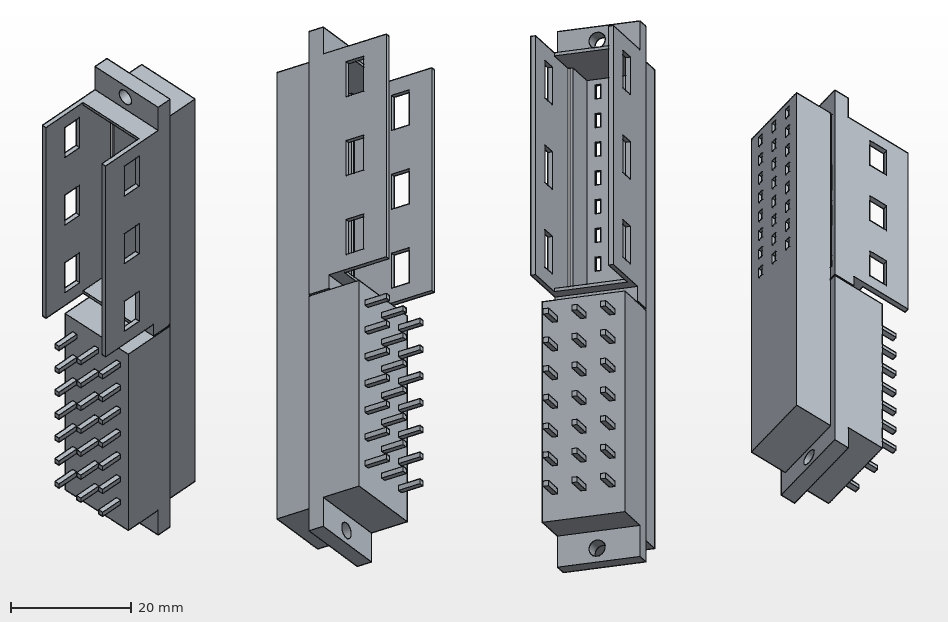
import cadquery as cq


LENGTH = 94.8
WIDTH = 14.7
FLANGE_THICKNESS = 2.8
MOUNT_HOLE_DIAMETER = 2.8
MOUNT_HOLE_X = -0.3
MOUNT_HOLE_INSET = 2.5

REAR_WIDTH = 12.4
REAR_DEPTH = 7.1
REAR_BOTTOM = 4.9
SHELL_WALL = 0.6

HOUSING_TOP = LENGTH - 5.1
HOUSING_BOTTOM = 47.4
HOUSING_DEPTH = 6.5
WING_DEPTH = 15.35
WING_THICKNESS = 0.9
FOOT_BOTTOM = 44.8
FOOT_DEPTH = 4.0

WINDOW_COUNT = 3
WINDOW_PITCH = 15.0
WINDOW_HEIGHT = 6.6
WINDOW_WIDTH = 3.5
WINDOW_CENTRE_DEPTH = 9.1

GAP = 0.3
BLOCK_TOP = FOOT_BOTTOM - GAP
BLOCK_BOTTOM = 5.5
BLOCK_DEPTH = 9.95

ROW_PITCH = 5.08
SLOT_COLUMNS = 3
SLOT_ROWS = 8
SLOT_COLUMN_PITCH = 3.7
SLOT_WIDTH = 0.95
SLOT_HEIGHT = 2.5
TOP_SLOT_Z = 86.9
PIN_COLUMNS = 3
PIN_ROWS = 7
PIN_SIZE = 0.95
PIN_TIP_DEPTH = 14.2
TOP_PIN_Z = 41.1


def block(width, front_depth, back_depth, bottom, top):
    """Box centred on X, between two depths measured towards -Y from the flange back."""
    return (
        cq.Workplane("XY")
        .box(width, front_depth - back_depth, top - bottom, centered=(True, False, False))
        .translate((0, -front_depth, bottom))
    )


def contact_grid(columns, rows, column_pitch, top_z):
    """X, Z centres of a contact array whose top row is at top_z."""
    return [
        ((column - (columns - 1) / 2) * column_pitch, top_z - row * ROW_PITCH)
        for column in range(columns)
        for row in range(rows)
    ]


def make_body():
    flange = block(WIDTH, FLANGE_THICKNESS, 0, 0, LENGTH)
    rear = block(REAR_WIDTH, 0, -REAR_DEPTH, REAR_BOTTOM, HOUSING_TOP)
    foot = block(WIDTH, FOOT_DEPTH, 0, FOOT_BOTTOM, HOUSING_BOTTOM)
    housing = block(WIDTH, WING_DEPTH, 0, HOUSING_BOTTOM, HOUSING_TOP)
    pin_block = block(WIDTH, BLOCK_DEPTH, 0, BLOCK_BOTTOM, BLOCK_TOP)
    body = flange.union(rear).union(foot).union(housing).union(pin_block)
    return body.cut(block(WIDTH, FLANGE_THICKNESS, 0, BLOCK_TOP, FOOT_BOTTOM))


def cut_housing(body):
    inner_width = WIDTH - 2 * WING_THICKNESS
    cavity_bottom = HOUSING_BOTTOM + SHELL_WALL
    cavity_top = HOUSING_TOP - SHELL_WALL
    between_wings = block(inner_width, WING_DEPTH, HOUSING_DEPTH, HOUSING_BOTTOM, HOUSING_TOP)
    frame_opening = block(inner_width, HOUSING_DEPTH, 0, cavity_bottom, cavity_top)
    rear_cavity = block(
        REAR_WIDTH - 2 * SHELL_WALL, 0, SHELL_WALL - REAR_DEPTH, cavity_bottom, cavity_top
    )
    return body.cut(between_wings).cut(frame_opening).cut(rear_cavity)


def cut_windows(body):
    middle_z = (HOUSING_BOTTOM + HOUSING_TOP) / 2
    for index in range(WINDOW_COUNT):
        z = middle_z + (index - (WINDOW_COUNT - 1) / 2) * WINDOW_PITCH
        window = cq.Workplane("XY").box(WIDTH, WINDOW_WIDTH, WINDOW_HEIGHT)
        body = body.cut(window.translate((0, -WINDOW_CENTRE_DEPTH, z)))
    return body


def cut_contact_slots(body):
    slots = (
        cq.Workplane("XZ")
        .pushPoints(contact_grid(SLOT_COLUMNS, SLOT_ROWS, SLOT_COLUMN_PITCH, TOP_SLOT_Z))
        .rect(SLOT_WIDTH, SLOT_HEIGHT)
        .extrude(-REAR_DEPTH)
    )
    return body.cut(slots)


def add_pins(body):
    pins = (
        cq.Workplane("XZ")
        .pushPoints(contact_grid(PIN_COLUMNS, PIN_ROWS, ROW_PITCH, TOP_PIN_Z))
        .rect(PIN_SIZE, PIN_SIZE)
        .extrude(PIN_TIP_DEPTH)
    )
    return body.union(pins)


def cut_mounting_holes(body):
    holes = (
        cq.Workplane("XZ")
        .pushPoints([(MOUNT_HOLE_X, MOUNT_HOLE_INSET), (MOUNT_HOLE_X, LENGTH - MOUNT_HOLE_INSET)])
        .circle(MOUNT_HOLE_DIAMETER / 2)
        .extrude(FLANGE_THICKNESS)
    )
    return body.cut(holes)


result = make_body()
result = cut_housing(result)
result = cut_windows(result)
result = cut_contact_slots(result)
result = add_pins(result)
result = cut_mounting_holes(result)